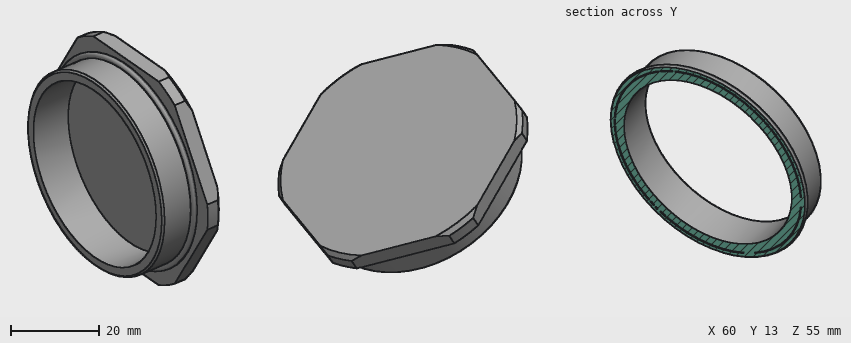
import cadquery as cq

SIDE_COUNT = 6
ACROSS_FLATS = 55.0
CORNER_DIAMETER = 59.95
FLANGE_THICKNESS = 4.0
HALF_CORNER_STEP = 360 / SIDE_COUNT / 2
CORNER_CHAMFER = 1.0

TOTAL_DEPTH = 13.0
SPIGOT_DIAMETER = 50.0
BORE_DIAMETER = 44.95
FLOOR_THICKNESS = 3.0
RIM_CHAMFER = 0.5

RING_OUTER_DIAMETER = 52.75
RING_SECTION_DIAMETER = 1.5
RING_CENTRE_OFFSET = 0.6


def disc(diameter, start, length):
    """Cylinder along -Y, starting at the given distance from the closed face."""
    return cq.Workplane("XZ", origin=(0, -start, 0)).circle(diameter / 2).extrude(length)


def make_flange():
    """Hexagon with flats at +Z and -Z, its corners turned round and chamfered at the back."""
    hexagon = (
        cq.Workplane("XZ")
        .polygon(SIDE_COUNT, ACROSS_FLATS, circumscribed=True)
        .extrude(FLANGE_THICKNESS)
        .rotate((0, 0, 0), (0, 1, 0), HALF_CORNER_STEP)
    )
    turned_blank = disc(CORNER_DIAMETER, 0, FLANGE_THICKNESS).faces(">Y").chamfer(CORNER_CHAMFER)
    return hexagon.intersect(turned_blank)


def make_spigot():
    """Round plug with a chamfered outer rim, rooted at the closed face."""
    return disc(SPIGOT_DIAMETER, 0, TOTAL_DEPTH).faces("<Y").chamfer(RIM_CHAMFER)


def make_ring():
    """Round-section ring, sunk slightly into the spigot wall and the flange face."""
    section_radius = RING_SECTION_DIAMETER / 2
    centre_radius = RING_OUTER_DIAMETER / 2 - section_radius
    return (
        cq.Workplane("XY")
        .moveTo(centre_radius, -FLANGE_THICKNESS - RING_CENTRE_OFFSET)
        .circle(section_radius)
        .revolve(360, (0, 0, 0), (0, 1, 0))
    )


bore = disc(BORE_DIAMETER, FLOOR_THICKNESS, TOTAL_DEPTH - FLOOR_THICKNESS)
result = make_flange().union(make_spigot()).union(make_ring()).cut(bore)